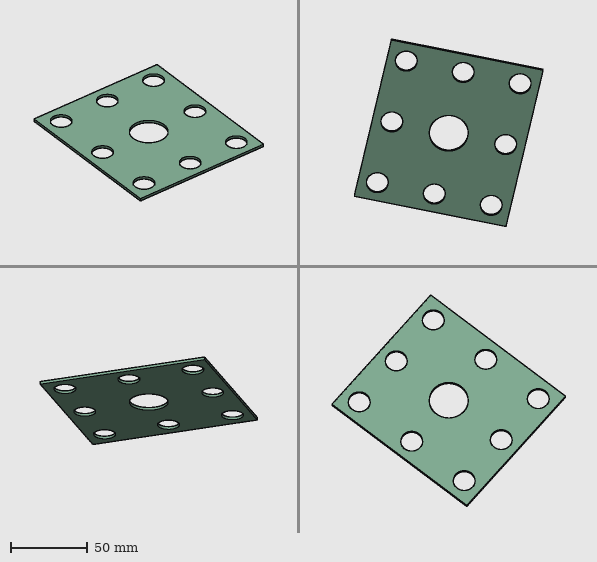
import cadquery as cq

length = 114.3
width = 101.6
thickness = 2.0

center_hole_diameter = 25.4
border_hole_diameter = 14.22
edge_margin = 12.7

pitch_x = length / 2 - edge_margin
pitch_y = width / 2 - edge_margin


def border_hole_centers():
    """Centres of a 3 x 3 grid, leaving out the middle position."""
    return [
        (column * pitch_x, row * pitch_y)
        for column in (-1, 0, 1)
        for row in (-1, 0, 1)
        if (column, row) != (0, 0)
    ]


plate = cq.Workplane("XY").box(length, width, thickness)
plate = plate.faces(">Z").workplane().hole(center_hole_diameter)
plate = plate.faces(">Z").workplane().pushPoints(border_hole_centers()).hole(border_hole_diameter)

result = plate